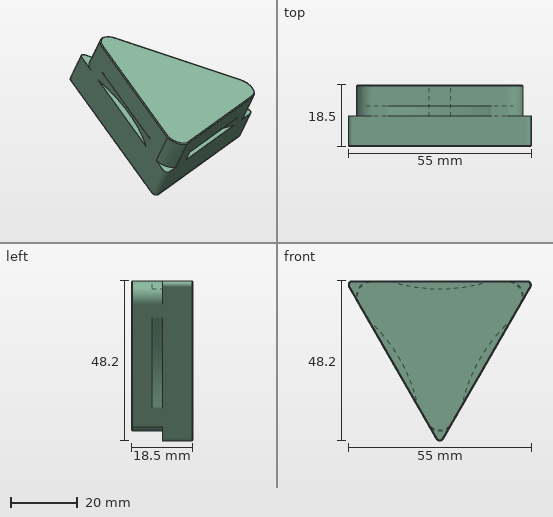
import cadquery as cq
import math

TRIANGLE_HALF_WIDTH = 28.42
TRIANGLE_HEIGHT = 49.41

LAYER_THICKNESS = 9.26
EDGE_CHAMFER = 0.3
CHAMFER_ANGLE = 45

FACE_CORNER_RADIUS = 1.25

BACK_CORNER_RADIUS = 4.65
BACK_TIP_DEPTH = 45.17
BACK_TIP_ARC_RISE = 1.28

SLOT_LENGTH = 31.1
SLOT_WIDTH = 3.05
SLOT_DEPTH = 2.5

TOP_ANGLE = math.atan2(TRIANGLE_HEIGHT, TRIANGLE_HALF_WIDTH)
TIP_HALF_ANGLE = math.pi / 2 - TOP_ANGLE


def prism(outline, y_start, y_length):
    """Extrude an XZ outline from y_start towards +Y."""
    return outline.extrude(-y_length).translate((0, y_start, 0))


def rounded_triangle(corner_radius, tip_depth, tip_arc_rise):
    """Triangle with tangent arcs at the top corners and one arc across the tip."""
    setback = corner_radius / math.tan(TOP_ANGLE / 2)
    top_x = TRIANGLE_HALF_WIDTH - setback
    side_x = TRIANGLE_HALF_WIDTH - setback * math.cos(TOP_ANGLE)
    side_z = -setback * math.sin(TOP_ANGLE)
    mid_angle = (math.pi / 2 - TIP_HALF_ANGLE) / 2
    mid_x = top_x + corner_radius * math.cos(mid_angle)
    mid_z = corner_radius * (math.sin(mid_angle) - 1)
    tip_start_z = tip_arc_rise - tip_depth
    tip_half_width = (TRIANGLE_HEIGHT + tip_start_z) * math.tan(TIP_HALF_ANGLE)
    return (
        cq.Workplane("XZ")
        .moveTo(-top_x, 0)
        .lineTo(top_x, 0)
        .threePointArc((mid_x, mid_z), (side_x, side_z))
        .lineTo(tip_half_width, tip_start_z)
        .threePointArc((0, -tip_depth), (-tip_half_width, tip_start_z))
        .lineTo(-side_x, side_z)
        .threePointArc((-mid_x, mid_z), (-top_x, 0))
        .close()
    )


def face_layer():
    """Front layer, chamfered around its front face."""
    tip_depth = TRIANGLE_HEIGHT - FACE_CORNER_RADIUS * (1 / math.sin(TIP_HALF_ANGLE) - 1)
    tip_arc_rise = FACE_CORNER_RADIUS * (1 - math.sin(TIP_HALF_ANGLE))
    outline = rounded_triangle(FACE_CORNER_RADIUS, tip_depth, tip_arc_rise)
    return prism(outline, -LAYER_THICKNESS, LAYER_THICKNESS).faces("<Y").edges().chamfer(EDGE_CHAMFER)


def back_layer():
    """Rear layer: a straight body with a tapered rim forming its rear chamfer."""
    outline = rounded_triangle(BACK_CORNER_RADIUS, BACK_TIP_DEPTH, BACK_TIP_ARC_RISE)
    straight_length = LAYER_THICKNESS - EDGE_CHAMFER
    body = prism(outline, 0, straight_length)
    rim_outline = rounded_triangle(BACK_CORNER_RADIUS, BACK_TIP_DEPTH, BACK_TIP_ARC_RISE)
    rim = rim_outline.extrude(-EDGE_CHAMFER, taper=CHAMFER_ANGLE).translate((0, straight_length, 0))
    return body.union(rim)


def lens_slot(center_x, center_z, rotation):
    """Slot with an arc floor; unrotated it opens upwards from a horizontal side."""
    half_length = SLOT_LENGTH / 2
    outline = (
        cq.Workplane("XZ")
        .moveTo(-half_length, 0)
        .threePointArc((0, -SLOT_DEPTH), (half_length, 0))
        .close()
    )
    cutter = prism(outline, 0, SLOT_WIDTH)
    turned = cutter.rotate((0, 0, 0), (0, -1, 0), rotation)
    return turned.translate((center_x, 0, center_z))


side_turn = 180 - math.degrees(TOP_ANGLE)
side_middle_x = TRIANGLE_HALF_WIDTH / 2
side_middle_z = -TRIANGLE_HEIGHT / 2

result = face_layer().union(back_layer())
result = result.cut(lens_slot(0, 0, 0))
for side in (-1, 1):
    result = result.cut(lens_slot(side * side_middle_x, side_middle_z, -side * side_turn))